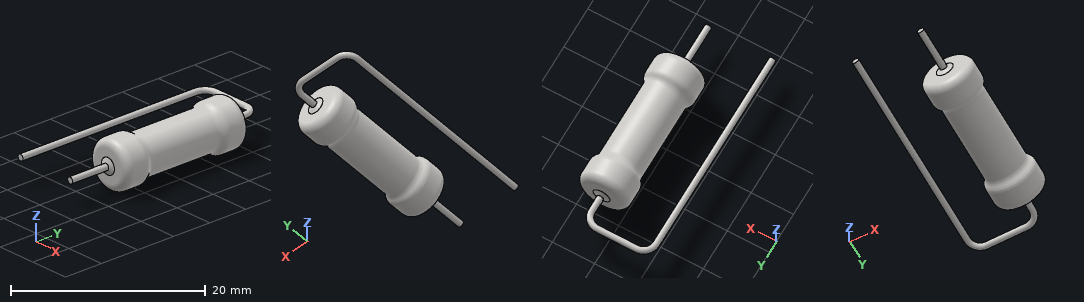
import cadquery as cq
import math


total_length = 26.15
body_start = 5.25
body_length = 17.0
body_end = body_start + body_length

cap_radius = 3.02
neck_radius = 2.55
edge_round = 1.0
cap_length = 2.7
slope_round = 1.0

wire_radius = 0.405
lead_pitch = 7.6
bend_radius = 1.5
flare_radius = 1.0
flare_length = 0.25


def end_profile():
    """Half of the body's outline in (radius, distance from end face), closed on the axis."""
    half_step = (cap_radius - neck_radius) / 2
    slope_angle = math.acos(1 - half_step / slope_round)
    half_run = slope_round * math.sin(slope_angle)
    arc_mid_drop = slope_round * (1 - math.cos(slope_angle / 2))
    arc_mid_run = slope_round * math.sin(slope_angle / 2)
    neck_start = cap_length + 2 * half_run
    round_inset = edge_round * (1 - math.sqrt(0.5))
    return (
        cq.Workplane("XY")
        .moveTo(0, -flare_length)
        .lineTo(wire_radius, -flare_length)
        .lineTo(flare_radius, 0)
        .lineTo(cap_radius - edge_round, 0)
        .threePointArc((cap_radius - round_inset, round_inset), (cap_radius, edge_round))
        .lineTo(cap_radius, cap_length)
        .threePointArc(
            (cap_radius - arc_mid_drop, cap_length + arc_mid_run),
            (cap_radius - half_step, cap_length + half_run),
        )
        .threePointArc(
            (neck_radius + arc_mid_drop, neck_start - arc_mid_run),
            (neck_radius, neck_start),
        )
        .lineTo(neck_radius, body_length / 2)
        .lineTo(0, body_length / 2)
        .close()
    )


def make_body():
    """Revolve one half about Y and mirror it across the middle of the body."""
    half = end_profile().revolve(360, (0, 0, 0), (0, 1, 0))
    half = half.translate((0, -body_length / 2, 0))
    whole = half.union(half.mirror("XZ"))
    return whole.translate((0, (body_start + body_end) / 2, 0))


def make_lead():
    """Sweep the wire through the body, round two bends and back to Y = 0."""
    crossbar_y = total_length - wire_radius
    bend_start_y = crossbar_y - bend_radius
    path = (
        cq.Workplane("XY")
        .moveTo(0, 0)
        .lineTo(0, bend_start_y)
        .tangentArcPoint((-bend_radius, crossbar_y), relative=False)
        .lineTo(bend_radius - lead_pitch, crossbar_y)
        .tangentArcPoint((-lead_pitch, bend_start_y), relative=False)
        .lineTo(-lead_pitch, 0)
    )
    return cq.Workplane("XZ").circle(wire_radius).sweep(path)


result = make_body().union(make_lead())